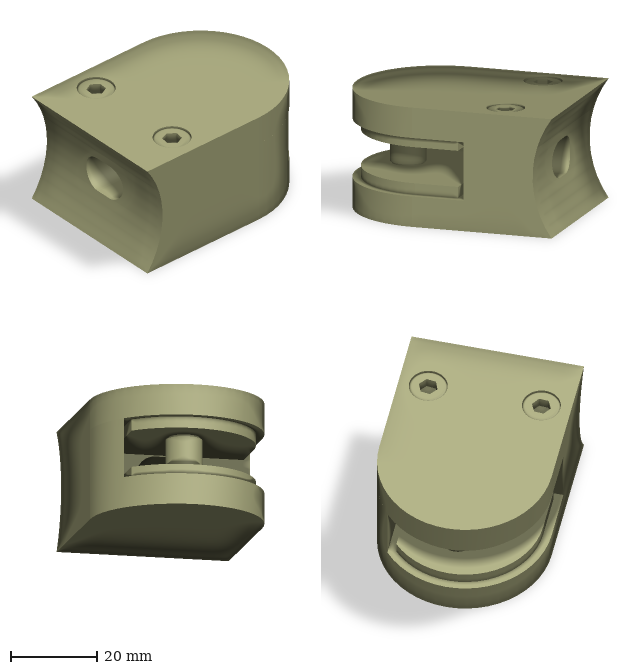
import cadquery as cq
import math

width = 41.0
end_radius = width / 2
straight_length = 34.15
plate_thickness = 7.25
slot_height = 14.0
height = slot_height + 2 * plate_thickness
rail_radius = 24.15

slot_back_y = -12.5
side_wall_x = 15.5

pad_inset = 1.95
pad_thickness = 2.7
pad_back_y = slot_back_y + pad_inset
pad_side_x = side_wall_x - pad_inset
gap_height = slot_height - 2 * pad_thickness

hole_width = 13.0
hole_height = 9.0

pin_diameter = 8.5
pin_y = 8.0
neck_diameter = 7.55
neck_length = 0.5

screw_x = 13.45
screw_y = -20.5
head_diameter = 9.0
head_height = 5.05
head_recess = 0.3
head_fillet = 0.6
shank_diameter = 5.05
shank_length = 10.0
socket_flats = 4.0
socket_depth = 2.5
socket_corners = socket_flats / math.cos(math.pi / 6)
left_socket_turn = -4.0
right_socket_turn = -8.0

top_z = height / 2
slot_top_z = slot_height / 2
head_top_z = top_z - head_recess
head_bottom_z = head_top_z - head_height
shank_end_z = head_bottom_z - shank_length


def tongue(radius, back_y, bottom_z, thickness):
    """Plate with a square back edge and a full-round +Y end."""
    return (
        cq.Workplane("XY", origin=(0, 0, bottom_z))
        .moveTo(-radius, back_y)
        .lineTo(radius, back_y)
        .lineTo(radius, 0)
        .threePointArc((0, radius), (-radius, 0))
        .close()
        .extrude(thickness)
    )


def cylinder(diameter, x, y, bottom_z, length):
    return cq.Workplane("XY", origin=(x, y, bottom_z)).circle(diameter / 2).extrude(length)


def rail():
    """Round rail that hollows the back face (-Y) right up to its top and bottom edges."""
    axis_y = -straight_length - math.sqrt(rail_radius**2 - top_z**2)
    return cq.Workplane("YZ").center(axis_y, 0).circle(rail_radius).extrude(width, both=True)


def screw_space():
    """Counterbores and shank holes of both screws."""
    space = cq.Workplane("XY")
    for x in (-screw_x, screw_x):
        space = space.union(cylinder(head_diameter, x, screw_y, head_bottom_z, top_z - head_bottom_z))
        space = space.union(cylinder(shank_diameter, x, screw_y, shank_end_z, top_z - shank_end_z))
    return space


def slot_region(end_x, back_y, bottom_z, thickness):
    """Block from beyond the -X side to end_x and from back_y to beyond the round end."""
    block = cq.Workplane("XY").box(width, width, thickness, centered=False)
    return block.translate((end_x - width, back_y, bottom_z))


def make_base():
    """Lower plate and the body behind the glass slot, hollowed to sit on the rail."""
    block = tongue(end_radius, -straight_length, -top_z, plate_thickness + slot_height)
    slot = slot_region(side_wall_x, slot_back_y, -slot_top_z, slot_height)
    hole = cq.Workplane("XZ").slot2D(hole_width, hole_height).extrude(straight_length)
    return block.cut(slot).cut(hole).cut(rail()).cut(screw_space())


def make_cover():
    """Upper plate, screwed onto the base."""
    plate = tongue(end_radius, -straight_length, slot_top_z, plate_thickness)
    return plate.cut(rail()).cut(screw_space())


def make_pad(bottom_z):
    """Lining pad, set in from the clamp edge, the slot back and the side wall."""
    pad = tongue(end_radius - pad_inset, pad_back_y, bottom_z, pad_thickness)
    return pad.intersect(slot_region(pad_side_x, pad_back_y, bottom_z, pad_thickness))


def make_pin():
    """Stepped pin that spans the gap, its narrow necks resting on both pads."""
    necks = cylinder(neck_diameter, 0, pin_y, -gap_height / 2, gap_height)
    body = cylinder(pin_diameter, 0, pin_y, neck_length - gap_height / 2, gap_height - 2 * neck_length)
    return necks.union(body)


def make_screw(x, socket_turn):
    """Socket screw with a rounded head sunk just below the cover's top face."""
    head = cylinder(head_diameter, x, screw_y, head_bottom_z, head_height)
    head = head.faces(">Z").edges().fillet(head_fillet)
    shank = cylinder(shank_diameter, x, screw_y, shank_end_z, shank_length)
    socket = (
        cq.Workplane("XY", origin=(x, screw_y, head_top_z))
        .transformed(rotate=(0, 0, socket_turn))
        .polygon(6, socket_corners)
        .extrude(-socket_depth)
    )
    return head.union(shank).cut(socket)


base = make_base()
cover = make_cover()
pads = [make_pad(-slot_top_z), make_pad(slot_top_z - pad_thickness)]
pin = make_pin()
screw_settings = [(-screw_x, left_socket_turn), (screw_x, right_socket_turn)]
screws = [make_screw(x, turn) for x, turn in screw_settings]

result = cq.Compound.makeCompound(
    [base.val(), cover.val(), *[pad.val() for pad in pads], pin.val(), *[screw.val() for screw in screws]]
)